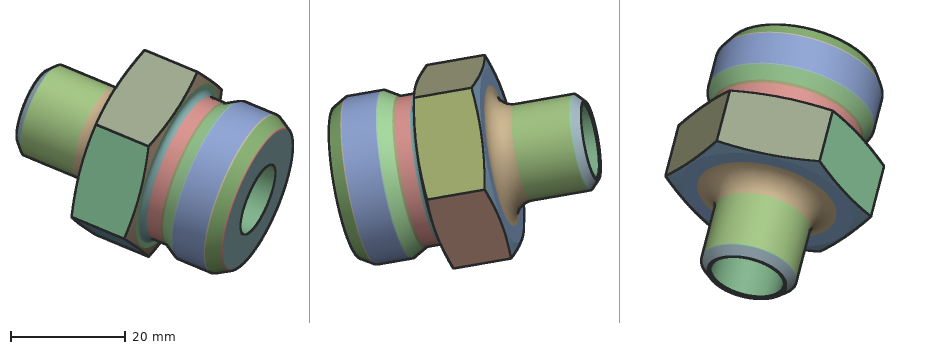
import cadquery as cq
import math

total_length = 44.0
hex_start = 16.0
hex_end = 28.05

hex_across_flats = 32.0
hex_corner_diameter = 36.9
hex_face_diameter = 30.98
hex_chamfer_angle = 15.0

bore_diameter = 13.2
bore_edge_chamfer = 0.25
tube_diameter = 17.2
tube_bevel = 1.55
tube_bevel_round = 0.25
tube_root_radius = 3.9

neck_diameter = 26.9
neck_root_radius = 1.15
neck_end = 32.1
neck_ramp_round = 1.0
thread_diameter = 30.0
thread_bevel_angle = 30.0
thread_edge_round = 0.5

tube_radius = tube_diameter / 2
neck_radius = neck_diameter / 2
thread_radius = thread_diameter / 2
hex_sharp_diameter = hex_across_flats / math.cos(math.radians(30))
bevel_length = (thread_radius - neck_radius) / math.tan(math.radians(thread_bevel_angle))


def revolve_about_x(points):
    """Revolve a closed (x, radius) outline about the X axis."""
    return cq.Workplane("XY").polyline(points).close().revolve(360, (0, 0, 0), (1, 0, 0))


def circles_at(x, radius):
    """Select edges centred near x on the axis, on a profile of the given radius."""
    reach = radius + 0.05
    return cq.selectors.BoxSelector((x - 0.05, -reach, -reach), (x + 0.05, reach, reach))


def make_tube():
    """Tube with a bevelled tip and a concave flare into the hexagon."""
    flare_start = hex_start - tube_root_radius
    flare_radius = tube_radius + tube_root_radius
    arc_offset = tube_root_radius * math.sin(math.radians(45))
    tube = (
        cq.Workplane("XY")
        .lineTo(0, tube_radius - tube_bevel)
        .lineTo(tube_bevel, tube_radius)
        .lineTo(flare_start, tube_radius)
        .threePointArc(
            (flare_start + arc_offset, flare_radius - arc_offset), (hex_start, flare_radius)
        )
        .lineTo(hex_start, 0)
        .close()
        .revolve(360, (0, 0, 0), (1, 0, 0))
    )
    return tube.edges(circles_at(tube_bevel, tube_radius)).fillet(tube_bevel_round)


def make_hexagon():
    """Hexagon with corners on Y, trimmed round at its corners and chamfered conically at both ends."""
    prism = (
        cq.Workplane("YZ", origin=(hex_start, 0, 0))
        .polygon(6, hex_sharp_diameter)
        .extrude(hex_end - hex_start)
    )
    face_radius = hex_face_diameter / 2
    outer_radius = hex_corner_diameter / 2
    chamfer_depth = (outer_radius - face_radius) * math.tan(math.radians(hex_chamfer_angle))
    envelope = revolve_about_x([
        (hex_start, 0),
        (hex_start, face_radius),
        (hex_start + chamfer_depth, outer_radius),
        (hex_end - chamfer_depth, outer_radius),
        (hex_end, face_radius),
        (hex_end, 0),
    ])
    return prism.intersect(envelope)


def make_threaded_end():
    """Neck and bevelled thread band with softened edges."""
    band_start = neck_end + bevel_length
    band_end = total_length - bevel_length
    body = revolve_about_x([
        (hex_end, 0),
        (hex_end, neck_radius),
        (neck_end, neck_radius),
        (band_start, thread_radius),
        (band_end, thread_radius),
        (total_length, neck_radius),
        (total_length, 0),
    ])
    body = body.edges(circles_at(neck_end, neck_radius)).fillet(neck_ramp_round)
    for x, radius in (
        (band_start, thread_radius),
        (band_end, thread_radius),
        (total_length, neck_radius),
    ):
        body = body.edges(circles_at(x, radius)).fillet(thread_edge_round)
    return body


def make_neck_root():
    """Concave ring joining the neck to the hexagon."""
    arc_offset = neck_root_radius * (1 - math.sin(math.radians(45)))
    return (
        cq.Workplane("XY")
        .moveTo(hex_end, 0)
        .lineTo(hex_end, neck_radius + neck_root_radius)
        .threePointArc(
            (hex_end + arc_offset, neck_radius + arc_offset),
            (hex_end + neck_root_radius, neck_radius),
        )
        .lineTo(hex_end + neck_root_radius, 0)
        .close()
        .revolve(360, (0, 0, 0), (1, 0, 0))
    )


def make_bore():
    """Through bore, chamfered at the tube tip."""
    bore_radius = bore_diameter / 2
    return revolve_about_x([
        (0, 0),
        (0, bore_radius + bore_edge_chamfer),
        (bore_edge_chamfer, bore_radius),
        (total_length, bore_radius),
        (total_length, 0),
    ])


solid_body = make_tube().union(make_hexagon()).union(make_threaded_end()).union(make_neck_root())
result = solid_body.cut(make_bore())